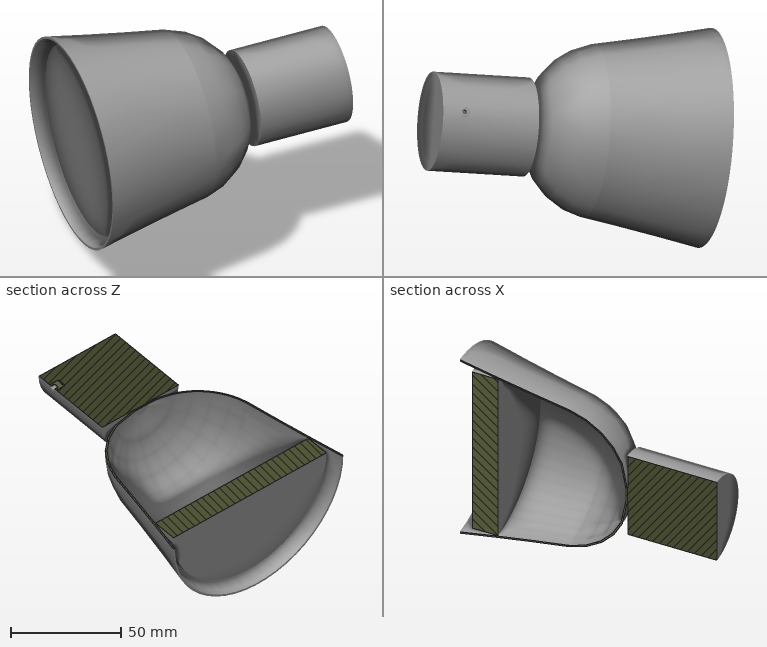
import cadquery as cq
import math


total_length = 129.0
rim_diameter = 100.0

sleeve_diameter = 45.0
sleeve_length = 45.0

crown_flat_radius = 4.0
dome_radius = 36.1
skirt_height = 55.0
skirt_bow = 0.3
wall = 1.0

diffuser_diameter = 90.0
diffuser_thickness = 13.0
diffuser_depth = 6.0

screw_diameter = 4.4
screw_chamfer = 0.19
screw_length = 5.0
screw_end_distance = 10.0
socket_across_flats = 2.2
socket_depth = 2.0

shade_height = total_length - sleeve_length
rim_radius = rim_diameter / 2
sleeve_radius = sleeve_diameter / 2
dome_center_height = shade_height - dome_radius
screw_y = total_length - screw_end_distance


def make_bell(inset):
    """Solid bell on the lamp axis: bowed skirt, dome and flat crown, moved inwards by the inset."""
    dome_section_radius = dome_radius - inset
    start_angle = math.asin((skirt_height - dome_center_height) / dome_section_radius)

    def dome_point(angle):
        return (
            crown_flat_radius + dome_section_radius * math.cos(angle),
            dome_center_height + dome_section_radius * math.sin(angle),
        )

    rim = (rim_radius - inset, 0)
    shoulder = dome_point(start_angle)
    skirt_middle = ((rim[0] + shoulder[0]) / 2 - skirt_bow, skirt_height / 2)
    dome_middle = dome_point((start_angle + math.pi / 2) / 2)
    crown_edge = (crown_flat_radius, shade_height - inset)
    return (
        cq.Workplane("XY")
        .lineTo(*rim)
        .threePointArc(skirt_middle, shoulder)
        .threePointArc(dome_middle, crown_edge)
        .lineTo(0, shade_height - inset)
        .close()
        .revolve(360, (0, 0, 0), (0, 1, 0))
    )


def make_shade():
    """Thin-walled bell, open at the rim."""
    return make_bell(0).cut(make_bell(wall))


def cylinder_along_y(diameter, start, length):
    """Cylinder on the lamp axis, from Y = start towards +Y."""
    return cq.Workplane("XZ", origin=(0, start, 0)).circle(diameter / 2).extrude(-length)


def screw_plane():
    """Plane that touches the -X side of the sleeve at the screw, facing inwards."""
    return cq.Workplane("YZ", origin=(-sleeve_radius, screw_y, 0))


def make_sleeve():
    """Solid cylinder with a blind hole that the set screw fills."""
    sleeve = cylinder_along_y(sleeve_diameter, shade_height, sleeve_length)
    screw_hole = screw_plane().circle(screw_diameter / 2).extrude(screw_length)
    return sleeve.cut(screw_hole)


def make_set_screw():
    """Headless screw with a chamfered outer end and a hexagon socket with a corner on top."""
    screw = screw_plane().circle(screw_diameter / 2).extrude(screw_length)
    screw = screw.faces("<X").chamfer(screw_chamfer)
    socket_across_corners = socket_across_flats / math.cos(math.pi / 6)
    socket = (
        screw_plane()
        .transformed(rotate=(0, 0, 90))
        .polygon(6, socket_across_corners)
        .extrude(socket_depth)
    )
    return screw.cut(socket)


shade = make_shade()
diffuser = cylinder_along_y(diffuser_diameter, diffuser_depth, diffuser_thickness)
sleeve = make_sleeve()
set_screw = make_set_screw()

result = cq.Compound.makeCompound([shade.val(), diffuser.val(), sleeve.val(), set_screw.val()])